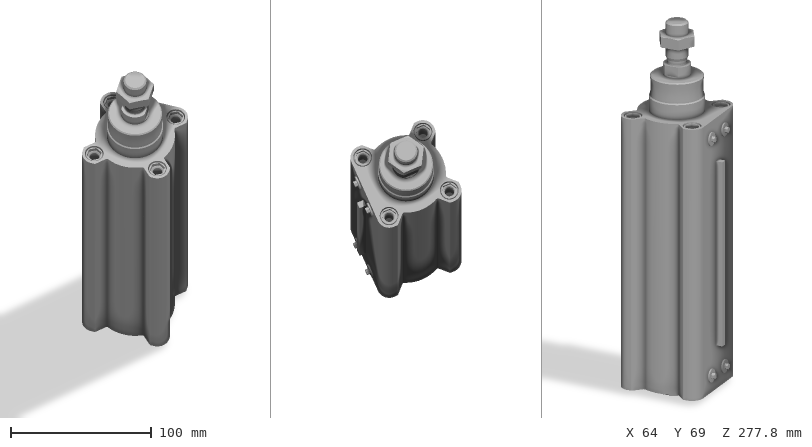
import cadquery as cq
import math

barrel_width = 64.0
barrel_bottom = 4.0
barrel_top = 210.0
tube_radius = 28.3
bolt_offset = 23.3
lobe_flat_end = 20.3
flank_fillet = 1.5
barrel_half = barrel_width / 2
barrel_height = barrel_top - barrel_bottom
barrel_middle = (barrel_bottom + barrel_top) / 2
lobe_radius = barrel_half - bolt_offset

boss_radius = 20.0
bottom_boss_chamfer = 0.5
boss_top = 222.0
boss_chamfer = 0.8
neck_radius = boss_radius - boss_chamfer
neck_waist = 0.42
neck_top = 237.2
neck_chamfer = 0.8

recess_radius = 6.7
sleeve_radius = 5.97
sleeve_chamfer = 0.3
sleeve_depth = 0.5
gap_depth = 2.8
socket_flats = 9.5
socket_depth = 2.8
thread_radius = 3.3
thread_mouth_radius = 4.03
thread_depth = 16.0
drill_tip_height = 2.0

rail_width = 4.5
rail_height = 5.0
rail_length = 140.0
screw_offset = 10.5
screw_end_distance = 13.0
pad_radius = 5.0
pad_height = 1.0
head_flats = 4.0
head_height = 2.5

rod_radius = 10.0
rod_flats = 17.2
rod_flats_bottom = 238.4
rod_shoulder = 245.9
relief_radius = 7.0
relief_land_radius = 7.2
relief_flare_top = 246.7
relief_top = 248.4
relief_land_top = 249.2
rod_thread_bottom = 251.5
rod_thread_radius = 8.0
rod_tip_chamfer = 1.0
rod_top = 277.8

nut_flats = 24.0
nut_bottom = 260.3
nut_height = 8.0
nut_chamfer_height = 0.5


def corner_diameter(flats):
    """Across-corners size of a hexagon from its across-flats size."""
    return flats / math.cos(math.pi / 6)


def revolved(profile):
    """Solid of revolution about Z from a list of (radius, z) points."""
    return cq.Workplane("XZ").polyline(profile).close().revolve(360, (0, 0, 0), (0, 1, 0))


def level(z):
    return cq.Workplane("XY").workplane(offset=z)


def side_notch():
    """Material missing on the -Y side between two lobes, bounded by the tube and two 45 degree flanks."""
    flank_shift = barrel_half - lobe_flat_end
    corner_x = (math.sqrt(2 * tube_radius**2 - flank_shift**2) - flank_shift) / 2
    corner_y = -(corner_x + flank_shift)
    notch = (
        level(barrel_bottom)
        .moveTo(-lobe_flat_end, -barrel_half)
        .lineTo(-corner_x, corner_y)
        .threePointArc((0, -tube_radius), (corner_x, corner_y))
        .lineTo(lobe_flat_end, -barrel_half)
        .close()
        .extrude(barrel_height)
    )
    for x in (-corner_x, corner_x):
        corner_edge = cq.selectors.NearestToPointSelector((x, corner_y, barrel_middle))
        notch = notch.edges(corner_edge).fillet(flank_fillet)
    return notch


def barrel():
    block = level(barrel_bottom).rect(barrel_width, barrel_width).extrude(barrel_height)
    block = block.edges("|Z").fillet(lobe_radius)
    notch = side_notch()
    for angle in (-90, 0, 90):
        block = block.cut(notch.rotate((0, 0, 0), (0, 0, 1), angle))
    lobe_edges = []
    for side in (-1, 1):
        lobe_edges.append((side * lobe_flat_end, -barrel_half))
        lobe_edges.append((side * barrel_half, -lobe_flat_end))
        lobe_edges.append((side * barrel_half, lobe_flat_end))
    for x, y in lobe_edges:
        lobe_edge = cq.selectors.NearestToPointSelector((x, y, barrel_middle))
        block = block.edges(lobe_edge).fillet(flank_fillet)
    return block


def bottom_boss():
    boss = level(0).circle(boss_radius).extrude(barrel_bottom)
    return boss.faces("<Z").chamfer(bottom_boss_chamfer)


def top_boss():
    neck_side_top = neck_top - neck_chamfer
    return (
        cq.Workplane("XZ")
        .moveTo(0, barrel_top)
        .lineTo(boss_radius, barrel_top)
        .lineTo(boss_radius, boss_top - boss_chamfer)
        .lineTo(neck_radius, boss_top)
        .threePointArc(
            (neck_radius - neck_waist, (boss_top + neck_side_top) / 2),
            (neck_radius, neck_side_top),
        )
        .lineTo(neck_radius - neck_chamfer, neck_top)
        .lineTo(0, neck_top)
        .close()
        .revolve(360, (0, 0, 0), (0, 1, 0))
    )


def bolt_hole():
    """Everything removed at one bolt axis, placed on the rod axis."""
    sleeve_face = barrel_top - sleeve_depth
    gap_bottom = sleeve_face - gap_depth
    socket_bottom = sleeve_face - socket_depth
    thread_bottom = socket_bottom - thread_depth
    gap = revolved([
        (0, barrel_top),
        (recess_radius, barrel_top),
        (recess_radius, gap_bottom),
        (sleeve_radius, gap_bottom),
        (sleeve_radius, sleeve_face - sleeve_chamfer),
        (sleeve_radius - sleeve_chamfer, sleeve_face),
        (0, sleeve_face),
    ])
    socket = (
        level(socket_bottom)
        .polygon(6, corner_diameter(socket_flats))
        .extrude(socket_depth)
        .rotate((0, 0, 0), (0, 0, 1), 30)
    )
    thread = revolved([
        (0, socket_bottom),
        (thread_mouth_radius, socket_bottom),
        (thread_radius, socket_bottom - (thread_mouth_radius - thread_radius)),
        (thread_radius, thread_bottom),
        (0, thread_bottom - drill_tip_height),
    ])
    return gap.union(socket).union(thread)


def rail():
    block = cq.Workplane("XY").box(rail_width, rail_height, rail_length)
    return block.translate((0, barrel_half + rail_height / 2, barrel_middle))


def adjusting_screw():
    """Round pad with a hexagon head, pointing along +Y from the origin."""
    pad = cq.Workplane("XZ").circle(pad_radius).extrude(-pad_height)
    head = (
        cq.Workplane("XZ")
        .polygon(6, corner_diameter(head_flats))
        .extrude(-(pad_height + head_height))
        .rotate((0, 0, 0), (0, 1, 0), 90)
    )
    return pad.union(head)


def make_housing():
    body = barrel().union(bottom_boss()).union(top_boss()).union(rail())
    hole = bolt_hole()
    for x in (-bolt_offset, bolt_offset):
        for y in (-bolt_offset, bolt_offset):
            body = body.cut(hole.translate((x, y, 0)))
    screw = adjusting_screw()
    for x in (-screw_offset, screw_offset):
        for z in (barrel_bottom + screw_end_distance, barrel_top - screw_end_distance):
            body = body.union(screw.translate((x, barrel_half, z)))
    return body


def make_rod():
    rod = revolved([
        (0, neck_top),
        (rod_radius, neck_top),
        (rod_radius, rod_shoulder),
        (relief_land_radius, rod_shoulder),
        (relief_radius, relief_flare_top),
        (relief_radius, relief_top),
        (relief_land_radius, relief_top),
        (relief_land_radius, relief_land_top),
        (rod_thread_radius, rod_thread_bottom),
        (rod_thread_radius, rod_top - rod_tip_chamfer),
        (rod_thread_radius - rod_tip_chamfer, rod_top),
        (0, rod_top),
    ])
    flat_height = rod_shoulder - rod_flats_bottom
    cutter_width = 2 * rod_radius
    cutter = cq.Workplane("XY").box(cutter_width, cutter_width, flat_height)
    for side in (-1, 1):
        x = side * (rod_flats + cutter_width) / 2
        rod = rod.cut(cutter.translate((x, 0, rod_flats_bottom + flat_height / 2)))
    return rod


def make_nut():
    nut_top = nut_bottom + nut_height
    corner_radius = corner_diameter(nut_flats) / 2
    blank = (
        level(nut_bottom)
        .polygon(6, 2 * corner_radius)
        .circle(rod_thread_radius)
        .extrude(nut_height)
        .rotate((0, 0, 0), (0, 0, 1), 90)
    )
    chamfer_envelope = revolved([
        (0, nut_bottom),
        (corner_radius, nut_bottom),
        (corner_radius, nut_top - nut_chamfer_height),
        (nut_flats / 2, nut_top),
        (0, nut_top),
    ])
    return blank.intersect(chamfer_envelope)


housing = make_housing()
rod = make_rod()
nut = make_nut()
result = cq.Compound.makeCompound([body.solids().val() for body in (housing, rod, nut)])